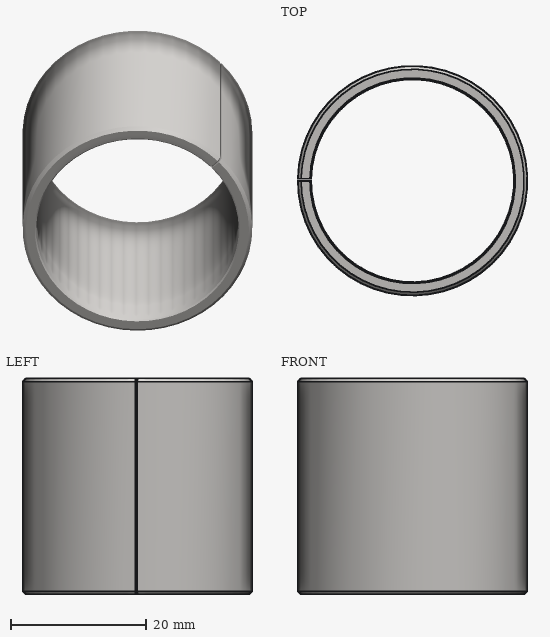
import cadquery as cq

outer_diameter = 34.0
wall_thickness = 2.0
length = 32.0
outer_chamfer = 0.5
inner_chamfer = 0.2
split_angle = 1.0

outer_radius = outer_diameter / 2
inner_radius = outer_radius - wall_thickness


def wall_section():
    """Wall cross-section on the -X side: a tall rectangle with all four corners chamfered."""
    return (
        cq.Workplane("XZ")
        .moveTo(-inner_radius - inner_chamfer, 0)
        .lineTo(-outer_radius + outer_chamfer, 0)
        .lineTo(-outer_radius, outer_chamfer)
        .lineTo(-outer_radius, length - outer_chamfer)
        .lineTo(-outer_radius + outer_chamfer, length)
        .lineTo(-inner_radius - inner_chamfer, length)
        .lineTo(-inner_radius, length - inner_chamfer)
        .lineTo(-inner_radius, inner_chamfer)
        .close()
    )


def split_bushing():
    """Sleeve swept about Z, stopping just short of a full turn to leave the split at -X, +Y."""
    axis_start = (0, 0, 0)
    axis_end = (0, 1, 0)
    return wall_section().revolve(360 - split_angle, axis_start, axis_end)


result = split_bushing()